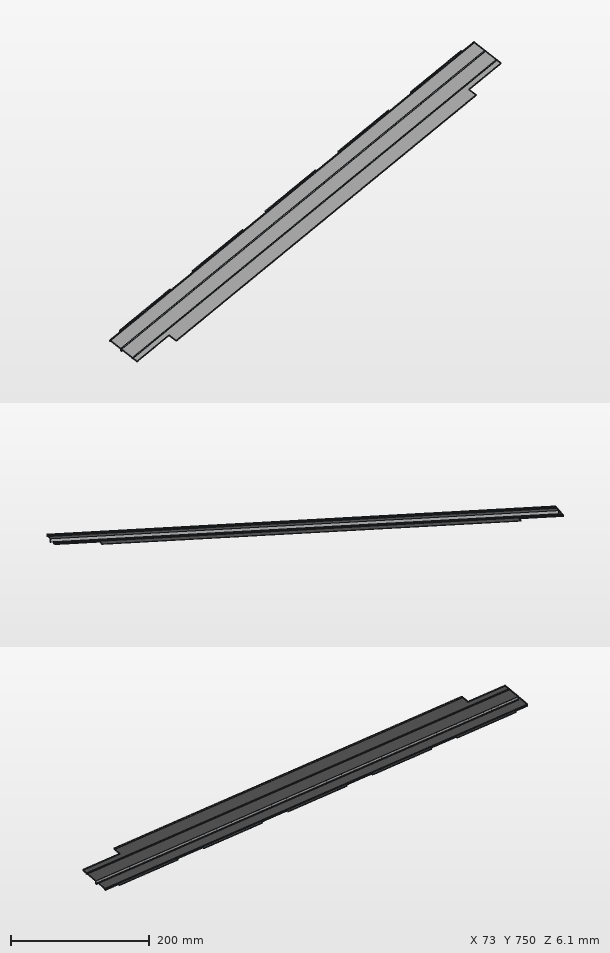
import cadquery as cq

length = 750.0
width = 73.0
height = 6.1
thickness = 1.5

bevel_width = 1.5
bevel_height = 1.0

plate_left = 3.4
web_thickness = 1.0
lip_left = 2.5
lip_top = -2.5
lip_bottom = -3.3
lip_right = plate_left + web_thickness

tab_count = 5
tab_length = 104.0
tab_pitch = length / tab_count

deep_rib_left = 24.6
deep_rib_width = 2.0

shallow_rib_left = 48.2
shallow_rib_width = 1.5
shallow_rib_bottom = -2.5

notch_length = 66.0
notch_depth = 15.0


def bar(x_min, x_max, z_min, z_max, y_length=length, y_center=0.0):
    """Rectangular bar running along Y, centred on y_center."""
    return (
        cq.Workplane("XY")
        .box(x_max - x_min, y_length, z_max - z_min, centered=(False, True, False))
        .translate((x_min, y_center, z_min))
    )


def make_plate():
    """Flat plate with its top face at Z = 0 and a bevelled lower +X edge."""
    section = [
        (plate_left, 0.0),
        (width, 0.0),
        (width, -thickness + bevel_height),
        (width - bevel_width, -thickness),
        (plate_left, -thickness),
    ]
    return cq.Workplane("XZ").polyline(section).close().extrude(length / 2, both=True)


def make_lip():
    """Web and ledge along the -X edge, with evenly spaced tabs reaching X = 0."""
    web = bar(plate_left, lip_right, lip_bottom, 0.0)
    lip = web.union(bar(lip_left, lip_right, lip_bottom, lip_top))
    for index in range(tab_count):
        y_center = (index - (tab_count - 1) / 2) * tab_pitch
        lip = lip.union(bar(0.0, lip_right, lip_bottom, lip_top, tab_length, y_center))
    return lip


def make_ribs():
    """Two full-length ribs that hang below the plate."""
    deep_rib = bar(deep_rib_left, deep_rib_left + deep_rib_width, -height, 0.0)
    shallow_rib_right = shallow_rib_left + shallow_rib_width
    return deep_rib.union(bar(shallow_rib_left, shallow_rib_right, shallow_rib_bottom, 0.0))


def cut_corner_notches(body):
    """Remove a rectangle from both +X corners."""
    for side in (-1, 1):
        y_center = side * (length - notch_length) / 2
        body = body.cut(bar(width - notch_depth, width, -height, 0.0, notch_length, y_center))
    return body


result = cut_corner_notches(make_plate().union(make_lip()).union(make_ribs()))